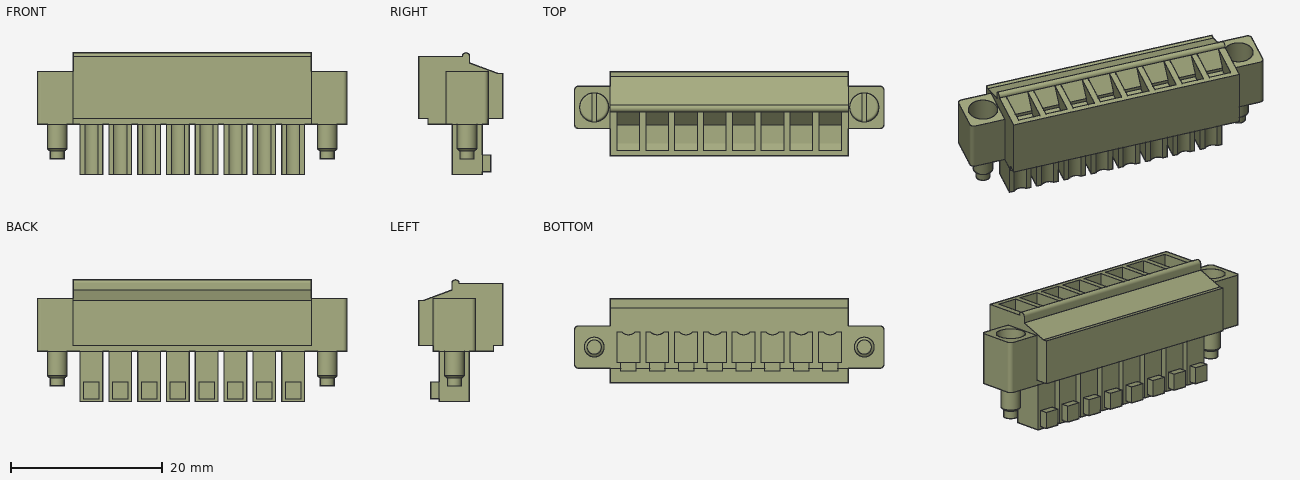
import cadquery as cq
import math


POLE_COUNT = 8
PITCH = 3.8
END_MARGIN = 1.05

BLOCK_LENGTH = POLE_COUNT * PITCH + END_MARGIN
BLOCK_DEPTH = 11.1
BLOCK_TOP_Z = 15.6
HOUSING_BOTTOM_Z = 6.65
STEP_Z = 7.4
STEP_FRONT_Y = 1.23
STEP_BACK_Y = 9.2

RIDGE_RADIUS = 0.5
RIDGE_CENTER_Y = 6.25
RIDGE_FRONT_Y = RIDGE_CENTER_Y - RIDGE_RADIUS
RIDGE_BACK_Y = RIDGE_CENTER_Y + RIDGE_RADIUS
ROOF_HIGH_Z = 14.75
ROOF_LOW_Z = 13.35
ROOF_LOW_Y = 10.5

POCKET_WIDTH = 3.0
POCKET_FRONT_Y = 0.75
POCKET_FLOOR_FRONT_Y = 1.6
POCKET_FLOOR_BACK_Y = 4.05
POCKET_FLOOR_Z = 13.25
POCKET_LEDGE_Z = 13.7
POCKET_RAMP_TOP_Z = 13.5

PRONG_WIDTH = 3.02
PRONG_FRONT_Y = 4.4
PRONG_BACK_Y = 8.4
PRONG_GROOVE_WIDTH = 1.7
PRONG_GROOVE_DEPTH = 0.35
NUB_WIDTH = 2.05
NUB_DEPTH = 1.1
NUB_BOTTOM_Z = 0.35
NUB_TOP_Z = 2.6

FLANGE_FRONT_Y = 3.6
FLANGE_BACK_Y = STEP_BACK_Y
FLANGE_TOP_Z = 13.65
OUTER_LENGTH = 40.85
FLANGE_LENGTH = (OUTER_LENGTH - BLOCK_LENGTH) / 2
FLANGE_CORNER_RADIUS = 0.55

SCREW_OFFSET_X = 17.8
SCREW_Y = (FLANGE_FRONT_Y + FLANGE_BACK_Y) / 2
HEAD_DIAMETER = 3.85
HEAD_BOTTOM_Z = 8.17
HEAD_HEIGHT = 2.05
HEAD_TOP_Z = HEAD_BOTTOM_Z + HEAD_HEIGHT
HEAD_ROUNDING = 0.33
SLOT_WIDTH = 0.6
SLOT_DEPTH = 0.6
SHANK_DIAMETER = 2.6
SHANK_END_Z = 3.45
TIP_DIAMETER = 1.9
TIP_START_Z = 3.1
TIP_END_Z = 2.1

POLE_XS = [(i - (POLE_COUNT - 1) / 2) * PITCH for i in range(POLE_COUNT)]
SCREW_XS = (-SCREW_OFFSET_X, SCREW_OFFSET_X)


def box(x_range, y_range, z_range):
    """Box spanning the given (low, high) pairs."""
    (x0, x1), (y0, y1), (z0, z1) = x_range, y_range, z_range
    return cq.Workplane("XY").box(x1 - x0, y1 - y0, z1 - z0, centered=False).translate((x0, y0, z0))


def cylinder(diameter, z0, z1):
    """Upright cylinder on the Z axis."""
    return cq.Workplane("XY").workplane(offset=z0).circle(diameter / 2).extrude(z1 - z0)


def block():
    """Long housing block with its stepped underside, ridge and sloping roof."""
    return (
        cq.Workplane("YZ")
        .moveTo(0, STEP_Z)
        .lineTo(0, BLOCK_TOP_Z)
        .lineTo(RIDGE_FRONT_Y, BLOCK_TOP_Z)
        .threePointArc((RIDGE_CENTER_Y, BLOCK_TOP_Z + RIDGE_RADIUS), (RIDGE_BACK_Y, BLOCK_TOP_Z))
        .lineTo(RIDGE_BACK_Y, ROOF_HIGH_Z)
        .lineTo(ROOF_LOW_Y, ROOF_LOW_Z)
        .lineTo(BLOCK_DEPTH, ROOF_LOW_Z)
        .lineTo(BLOCK_DEPTH, STEP_Z)
        .lineTo(STEP_BACK_Y, STEP_Z)
        .lineTo(STEP_BACK_Y, HOUSING_BOTTOM_Z)
        .lineTo(STEP_FRONT_Y, HOUSING_BOTTOM_Z)
        .lineTo(STEP_FRONT_Y, STEP_Z)
        .close()
        .extrude(BLOCK_LENGTH / 2, both=True)
    )


def wire_pocket(x):
    """Tapered wire entry, open at the top, with a ramp in front of its flat floor and a low ledge behind."""
    return (
        cq.Workplane("YZ")
        .polyline([
            (POCKET_FRONT_Y, BLOCK_TOP_Z),
            (POCKET_FRONT_Y, POCKET_RAMP_TOP_Z),
            (POCKET_FLOOR_FRONT_Y, POCKET_FLOOR_Z),
            (POCKET_FLOOR_BACK_Y, POCKET_FLOOR_Z),
            (POCKET_FLOOR_BACK_Y, POCKET_LEDGE_Z),
            (RIDGE_FRONT_Y, BLOCK_TOP_Z),
        ])
        .close()
        .extrude(POCKET_WIDTH / 2, both=True)
        .translate((x, 0, 0))
    )


def prong(x):
    """Prong with a shallow round groove down its front and a nub on its back."""
    half_width = PRONG_WIDTH / 2
    half_groove = PRONG_GROOVE_WIDTH / 2
    shaft = (
        cq.Workplane("XY")
        .moveTo(-half_width, PRONG_FRONT_Y)
        .lineTo(-half_groove, PRONG_FRONT_Y)
        .threePointArc((0, PRONG_FRONT_Y + PRONG_GROOVE_DEPTH), (half_groove, PRONG_FRONT_Y))
        .lineTo(half_width, PRONG_FRONT_Y)
        .lineTo(half_width, PRONG_BACK_Y)
        .lineTo(-half_width, PRONG_BACK_Y)
        .close()
        .extrude(HOUSING_BOTTOM_Z)
    )
    nub = box(
        (-NUB_WIDTH / 2, NUB_WIDTH / 2),
        (PRONG_BACK_Y, PRONG_BACK_Y + NUB_DEPTH),
        (NUB_BOTTOM_Z, NUB_TOP_Z),
    )
    return shaft.union(nub).translate((x, 0, 0))


def flange(side):
    """Screw flange on the left (side = -1) or right (side = 1) end, with rounded outer corners."""
    inner_x = side * BLOCK_LENGTH / 2
    outer_x = inner_x + side * FLANGE_LENGTH
    return (
        box(
            (min(inner_x, outer_x), max(inner_x, outer_x)),
            (FLANGE_FRONT_Y, FLANGE_BACK_Y),
            (HOUSING_BOTTOM_Z, FLANGE_TOP_Z),
        )
        .faces("<X" if side < 0 else ">X")
        .edges("|Z")
        .fillet(FLANGE_CORNER_RADIUS)
    )


def screw_hole(x):
    """Counterbored hole that the screw head and shank fill."""
    counterbore = cylinder(HEAD_DIAMETER, HEAD_BOTTOM_Z, FLANGE_TOP_Z)
    through_hole = cylinder(SHANK_DIAMETER, HOUSING_BOTTOM_Z, HEAD_BOTTOM_Z)
    return counterbore.union(through_hole).translate((x, SCREW_Y, 0))


def make_housing():
    body = block()
    body = body.union(flange(-1))
    body = body.union(flange(1))
    for x in POLE_XS:
        body = body.cut(wire_pocket(x)).union(prong(x))
    for x in SCREW_XS:
        body = body.cut(screw_hole(x))
    return body


def make_screw(x):
    """Slotted screw with a rounded head edge, a tapered shoulder and a narrower tip."""
    head_radius = HEAD_DIAMETER / 2
    shank_radius = SHANK_DIAMETER / 2
    tip_radius = TIP_DIAMETER / 2
    arc_reach = HEAD_ROUNDING * math.sqrt(0.5)
    arc_middle = (
        head_radius - HEAD_ROUNDING + arc_reach,
        HEAD_TOP_Z - HEAD_ROUNDING + arc_reach,
    )
    turned = (
        cq.Workplane("XZ")
        .moveTo(0, TIP_END_Z)
        .lineTo(tip_radius, TIP_END_Z)
        .lineTo(tip_radius, TIP_START_Z)
        .lineTo(shank_radius, SHANK_END_Z)
        .lineTo(shank_radius, HEAD_BOTTOM_Z)
        .lineTo(head_radius, HEAD_BOTTOM_Z)
        .lineTo(head_radius, HEAD_TOP_Z - HEAD_ROUNDING)
        .threePointArc(arc_middle, (head_radius - HEAD_ROUNDING, HEAD_TOP_Z))
        .lineTo(0, HEAD_TOP_Z)
        .close()
        .revolve(360, (0, 0, 0), (0, 1, 0))
    )
    slot = box(
        (-SLOT_WIDTH / 2, SLOT_WIDTH / 2),
        (-head_radius, head_radius),
        (HEAD_TOP_Z - SLOT_DEPTH, HEAD_TOP_Z),
    )
    return turned.cut(slot).translate((x, SCREW_Y, 0))


housing = make_housing()
screws = [make_screw(x) for x in SCREW_XS]

result = cq.Compound.makeCompound([housing.val(), *[screw.val() for screw in screws]])